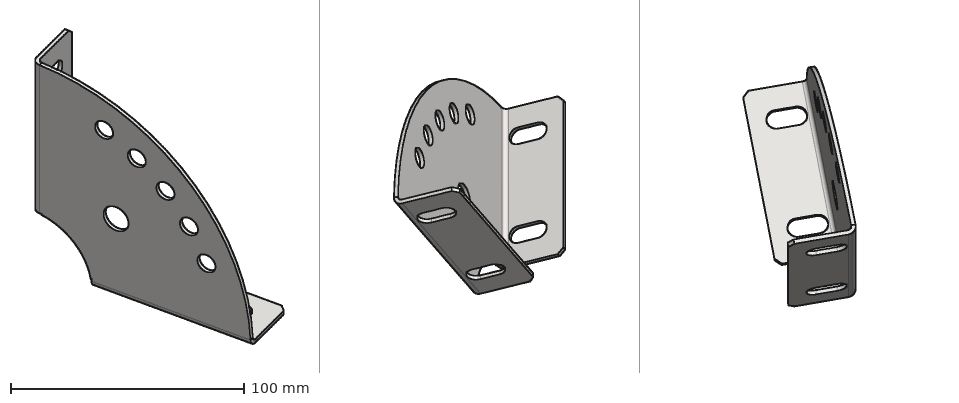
import cadquery as cq
import math

size = 110.0
depth = 30.0
sheet = 2.0
bend_outer = 4.0
bend_inner = bend_outer - sheet

notch_radius = 30.0
relief_edge = 5.0
flange_length = size - notch_radius

hole_diameter = 9.0
hole_circle_radius = 95.0
hole_count = 5
hole_step = 11.25
pivot_diameter = 12.5
pivot_radius = 60.0
diagonal = 45.0

corner_chamfer = 2.6
slot_width = 8.5
slot_length = 17.6
slot_height = 13.3
slot_places = (45.0, 95.0)


def polar(radius, angle):
    """X, Z position at a radius and an angle from the X axis."""
    return (radius * math.cos(math.radians(angle)), radius * math.sin(math.radians(angle)))


def plate():
    """Flat quarter ring between the two bend lines, with its holes."""
    outer_end = math.sqrt(size**2 - bend_outer**2)
    inner_end = math.sqrt(notch_radius**2 - relief_edge**2)
    body = (
        cq.Workplane("XZ")
        .moveTo(bend_outer, notch_radius)
        .lineTo(bend_outer, outer_end)
        .threePointArc(polar(size, diagonal), (outer_end, bend_outer))
        .lineTo(notch_radius, bend_outer)
        .lineTo(notch_radius, relief_edge)
        .lineTo(inner_end, relief_edge)
        .threePointArc(polar(notch_radius, diagonal), (relief_edge, inner_end))
        .lineTo(relief_edge, notch_radius)
        .close()
        .extrude(-sheet)
    )
    first_angle = diagonal - hole_step * (hole_count - 1) / 2
    centres = [polar(hole_circle_radius, first_angle + i * hole_step) for i in range(hole_count)]
    holes = cq.Workplane("XZ").pushPoints(centres).circle(hole_diameter / 2).extrude(-sheet)
    pivot = (
        cq.Workplane("XZ")
        .center(*polar(pivot_radius, diagonal))
        .circle(pivot_diameter / 2)
        .extrude(-sheet)
    )
    return body.cut(holes).cut(pivot)


def side_flange():
    """Upright flange on the X = 0 side, with its bend, clipped corners and slots."""
    outer_middle = bend_outer - bend_outer * math.sqrt(0.5)
    inner_middle = bend_outer - bend_inner * math.sqrt(0.5)
    body = (
        cq.Workplane("XY")
        .workplane(offset=notch_radius)
        .moveTo(bend_outer, 0)
        .threePointArc((outer_middle, outer_middle), (0, bend_outer))
        .lineTo(0, depth)
        .lineTo(sheet, depth)
        .lineTo(sheet, bend_outer)
        .threePointArc((inner_middle, inner_middle), (bend_outer, sheet))
        .close()
        .extrude(flange_length)
        .faces(">Y")
        .edges("|X")
        .chamfer(corner_chamfer)
    )
    slots = (
        cq.Workplane("YZ")
        .pushPoints([(slot_height, place) for place in slot_places])
        .slot2D(slot_length, slot_width)
        .extrude(sheet)
    )
    return body.cut(slots)


upright = side_flange()
bottom = upright.mirror("XY").rotate((0, 0, 0), (0, 1, 0), -90)
result = plate().union(upright).union(bottom)